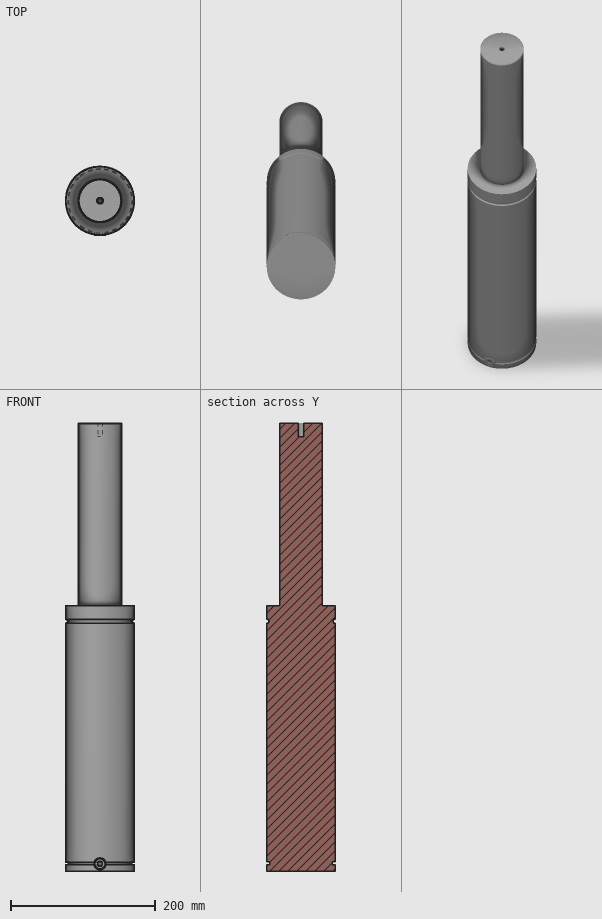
import cadquery as cq

total_height = 620.0
body_diameter = 95.0
body_height = 367.5
rod_diameter = 60.0
rod_tip_diameter = 58.0

upper_groove_height = 346.0
upper_groove_width = 5.5

lower_groove_height = 11.0
lower_groove_width = 4.0
lower_groove_depth = 4.0

rod_hole_diameter = 7.0
rod_hole_mouth_diameter = 8.5
rod_hole_depth = 18.5

plug_height = 10.5
plug_diameter = 16.0
plug_face_diameter = 14.0
plug_length = 12.5
plug_socket_diameter = 7.0
plug_socket_depth = 3.0

body_radius = body_diameter / 2


def make_body():
    """Cylinder body with its two grooves."""
    body = cq.Workplane("XY").circle(body_radius).extrude(body_height)
    groove_section = cq.Workplane("XZ").center(body_radius, upper_groove_height)
    upper_groove = groove_section.circle(upper_groove_width / 2).revolve(
        360, (-body_radius, 0, 0), (-body_radius, 1, 0)
    )
    lower_groove = (
        cq.Workplane("XY", origin=(0, 0, lower_groove_height))
        .circle(body_diameter)
        .circle(body_radius - lower_groove_depth)
        .extrude(lower_groove_width / 2, both=True)
    )
    return body.cut(upper_groove).cut(lower_groove)


def make_rod():
    """Piston rod with a chamfered tip and a countersunk blind hole in its end."""
    tip_chamfer = (rod_diameter - rod_tip_diameter) / 2
    mouth_chamfer = (rod_hole_mouth_diameter - rod_hole_diameter) / 2
    rod = cq.Workplane("XY").circle(rod_diameter / 2).extrude(total_height)
    rod = rod.faces(">Z").chamfer(tip_chamfer)
    rod_end = cq.Workplane("XY", origin=(0, 0, total_height))
    hole = rod_end.circle(rod_hole_diameter / 2).extrude(-rod_hole_depth)
    mouth = (
        rod_end.circle(rod_hole_mouth_diameter / 2)
        .workplane(offset=-mouth_chamfer)
        .circle(rod_hole_diameter / 2)
        .loft()
    )
    return rod.cut(hole).cut(mouth)


def make_plug():
    """Plug with a chamfered front edge, its face level with the outside of the body."""
    edge_chamfer = (plug_diameter - plug_face_diameter) / 2
    plug = plug_face.circle(plug_diameter / 2).extrude(-plug_length)
    return plug.faces("<Y").chamfer(edge_chamfer)


plug_face = cq.Workplane("XZ", origin=(0, -body_radius, plug_height))
plug_seat = plug_face.circle(plug_diameter / 2).extrude(-plug_length)
plug_socket = plug_face.circle(plug_socket_diameter / 2).extrude(-plug_socket_depth)

result = make_body().union(make_rod())
result = result.cut(plug_seat).union(make_plug()).cut(plug_socket)